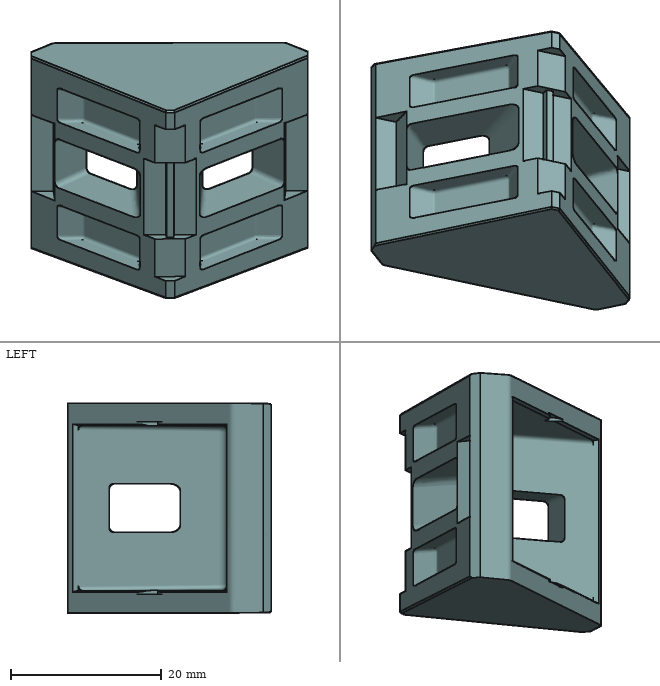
import cadquery as cq
import math

leg = 27.2
height = 28.0
half_leg = leg / 2

tip_height = 5.32
tip_chamfer = 1.1
tip_round = 0.92
corner_chamfer = 0.85
rim_chamfer = 0.22
draft = math.tan(math.radians(1))

leg_thickness = 6.0
cavity_half_height = 11.0
cavity_corner_radius = 1.0
cavity_side_radius = 0.55
lip_half_height = 11.2
lip_depth = 0.55

clip_depth = 1.55
clip_half_height = 11.48
clip_lip_radius = 1.9

slot_start = 5.57
slot_outer_end = 21.62
slot_inner_end = 15.0
slot_outer_half_height = 3.53
slot_inner_half_height = 3.22
slot_near_radius = 0.7
slot_far_radius = 0.98

recess_start = 5.95
recess_end = 21.5
recess_near_run = 2.52
recess_far_run = 2.27
recess_depth = 2.52
recess_low = 6.0
recess_high = 10.95
recess_radius = 0.45

key_half_height = 5.52
key_depth = 2.1
key_root = tip_chamfer + key_depth
corner_cut = 2.85
corner_cut_half_height = 10.95
corner_key_start = 4.93
corner_key_root = corner_key_start - corner_cut
corner_key_ridge_near = 2.13
corner_key_ridge_far = 1.45

oversize = 2 * height


def point(along, depth):
    return (along - half_leg, depth - half_leg)


def nearest_to(along, depth):
    """Selects the vertical edge through a point of the outline."""
    return cq.selectors.NearestToPointSelector((*point(along, depth), 0))


def mirrored(solid):
    """The same feature reflected onto the other leg."""
    return solid.mirror(cq.Vector(1, 1, 0), (0, 0, 0))


def distance_from_slope(along, depth):
    return (along - depth + tip_height) / math.sqrt(2)


def prism(points, half_height=oversize):
    outline = [point(*p) for p in points]
    return cq.Workplane("XY").polyline(outline).close().extrude(half_height, both=True)


slope_middle = point((leg - tip_height) / 2, (leg + tip_height) / 2)
slope_origin = (*slope_middle, 0)
into_part = (1, -1, 0)
slope_plane = cq.Plane(origin=slope_origin, xDir=into_part, normal=(1, 1, 0))


def drafted_slab(half_height, distance, growth):
    """Slab |z| < half_height at a distance from the sloping face, growing towards the corner."""
    near = half_height - growth * (distance + leg)
    far = half_height + growth * (leg - distance)
    outline = [(-leg, -near), (leg, -far), (leg, far), (-leg, near)]
    return cq.Workplane(slope_plane).polyline(outline).close().extrude(oversize, both=True)


def tapered_opening(outer, inner, depth):
    """Four-sided opening from the -Y face; each end is (along0, along1, z0, z1)."""

    def rectangle(workplane, ends):
        along0, along1, z0, z1 = ends
        x0 = along0 - half_leg
        x1 = along1 - half_leg
        return workplane.polyline([(x0, z0), (x1, z0), (x1, z1), (x0, z1)]).close()

    face = cq.Workplane("XZ", origin=(0, -half_leg, 0))
    return rectangle(rectangle(face, outer).workplane(offset=-depth), inner).loft(ruled=True)


def make_body():
    outline = [
        (tip_chamfer, 0),
        (leg - corner_chamfer, 0),
        (leg, corner_chamfer),
        (leg, leg - tip_chamfer),
        (leg - tip_chamfer, leg),
        (leg - tip_height, leg),
        (0, tip_height),
        (0, tip_chamfer),
    ]
    body = prism(outline)
    for corner in ((leg - tip_height, leg), (0, tip_height)):
        body = body.edges(nearest_to(*corner)).fillet(tip_round)
    body = body.intersect(drafted_slab(height / 2, 0, -draft))
    return body.faces("<Y or >X or >(1,-1,0)").edges("not |Z").chamfer(rim_chamfer)


def make_cavity():
    corner = leg - leg_thickness
    far_end = leg_thickness + leg
    prism_outline = [(corner, leg_thickness), (corner, far_end), (corner - leg, leg_thickness)]
    hollow = prism(prism_outline).edges(nearest_to(corner, leg_thickness)).fillet(cavity_corner_radius)
    main = hollow.intersect(drafted_slab(cavity_half_height, 0, -draft))
    main = main.faces("<Y").edges("not |Z").fillet(cavity_side_radius)

    lip_end = cavity_half_height - lip_depth * draft
    lip_outline = [(0, -lip_half_height), (lip_depth, -lip_end), (lip_depth, lip_end), (0, lip_half_height)]
    lip_slab = cq.Workplane(slope_plane).polyline(lip_outline).close().extrude(oversize, both=True)
    return main.union(hollow.intersect(lip_slab))


def make_clip_notch():
    mouth = 2 * clip_depth
    outline = [
        (-mouth, -mouth),
        (0, -mouth),
        (0, -clip_depth),
        (clip_depth, 0),
        (0, clip_depth),
        (0, mouth),
        (-mouth, mouth),
    ]
    flat = cq.Workplane(cq.Plane(origin=slope_origin, xDir=into_part, normal=(0, 0, 1)))
    notch = flat.polyline(outline).close().extrude(clip_half_height, both=True)
    for side in (-1, 1):
        lip_edge = flat.plane.toWorldCoords((0, side * clip_depth, 0))
        nearest_edge = cq.selectors.NearestToPointSelector(lip_edge.toTuple())
        notch = notch.edges(nearest_edge).fillet(clip_lip_radius)
    return notch


def make_slot():
    slot = tapered_opening(
        (slot_start, slot_outer_end, -slot_outer_half_height, slot_outer_half_height),
        (slot_start, slot_inner_end, -slot_inner_half_height, slot_inner_half_height),
        leg_thickness,
    )
    for end, radius in (("<X", slot_near_radius), (">X", slot_far_radius)):
        slot = slot.faces(end).edges("not |Z").fillet(radius)
    return slot


def make_recess():
    recess = tapered_opening(
        (recess_start, recess_end, recess_low, recess_high),
        (
            recess_start + recess_near_run,
            recess_end - recess_far_run,
            recess_low + recess_depth * draft,
            recess_high - recess_depth * draft,
        ),
        recess_depth,
    )
    return recess.edges("not (<Y)").fillet(recess_radius)


def make_tip_key():
    notch = prism([(tip_chamfer, 0), (slot_start, 0), (key_root, key_depth)])
    return notch.intersect(drafted_slab(key_half_height, distance_from_slope(tip_chamfer, 0), draft))


def make_corner_cut():
    notch = prism([(leg - corner_cut, 0), (leg, 0), (leg, corner_cut)])
    return notch.intersect(
        drafted_slab(corner_cut_half_height, distance_from_slope(leg - corner_cut, 0), draft)
    )


def make_corner_key():
    return prism(
        [
            (leg - corner_key_start, 0),
            (leg - corner_cut, corner_key_root),
            (leg - corner_key_ridge_near, corner_key_ridge_far),
            (leg - corner_key_ridge_far, corner_key_ridge_near),
            (leg - corner_key_root, corner_cut),
            (leg, corner_key_start),
            (leg, 0),
        ],
        key_half_height,
    )


recess = make_recess()
leg_cuts = [make_slot(), make_tip_key(), recess, recess.mirror("XY")]

result = make_body()
for cut in [make_cavity(), make_clip_notch(), make_corner_cut(), make_corner_key()]:
    result = result.cut(cut)
for cut in leg_cuts:
    result = result.cut(cut).cut(mirrored(cut))